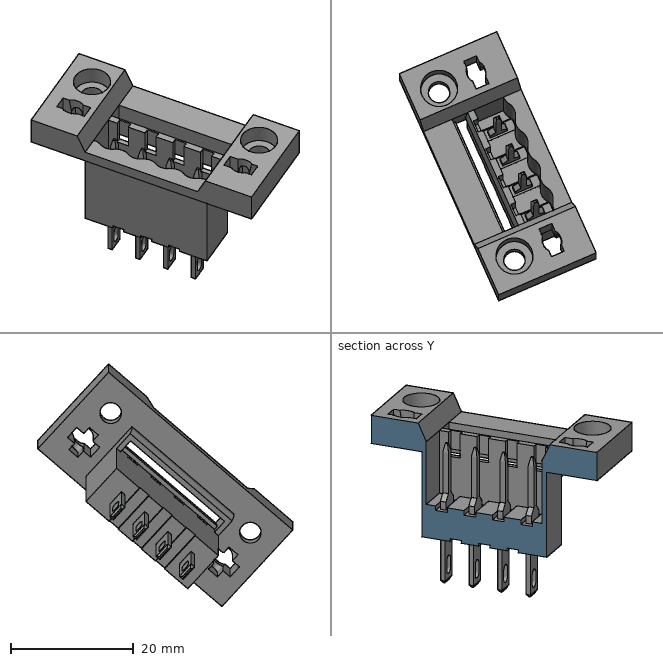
import cadquery as cq
import math


flange_length = 40.25
flange_width = 17.4
flange_thickness = 5.05
ledge_depth = 3.05
ledge_half_length = 10.25
ear_half_gap = 11.7

body_length = 22.25
body_front = -6.95
body_back = 0.55
body_bottom = -20.0
notch_width = 1.97
notch_height = 0.5

hood_back = 4.35
hood_back_low = 3.9
hood_taper_z = -6.45
hood_bottom = -8.05
hood_pocket_back = 3.62
hood_slit_back = 3.0

catch_top_y = 0.85
catch_tip_y = 1.3
catch_bottom = -6.35

pin_count = 4
pin_pitch = 5.07
cavity_back = -0.3
cavity_front = -6.3
crest_front = -5.55
cavity_floor = -14.1
groove_depth = 0.8
slot_width = 2.0
slot_floor = -7.32

pin_y = -3.3
contact_thickness = 1.0
contact_width = 3.05
contact_root = 1.6
tail_thickness = 0.8
tail_width = 2.85
neck_width = 1.05
pin_top = -3.7
neck_taper_length = 1.45
neck_tip_size = 0.35
shoulder_base = -13.5
shoulder_height = 1.13
pin_bottom = -28.0
tail_taper_length = 0.55
tail_tip_thickness = 0.25
tail_tip_width = 1.85
eye_width = 1.5
eye_length = 3.15
eye_z = -25.0

opening_x = 15.25
screw_y = 3.75
screw_diameter = 3.5
counterbore_diameter = 6.05
counterbore_depth = 3.0
key_y = -2.9
key_length = 5.05
key_width = 2.25
key_bore_x = 15.17
key_bore_diameter = 3.05
key_lean_angle = 10.0
key_lean_depth = 2.4
cross_slot_width = 1.95
cross_slot_top = -1.5

pin_positions = [(i - (pin_count - 1) / 2) * pin_pitch for i in range(pin_count)]


def block(x_range, y_range, z_range):
    """Axis-aligned box given by its limits."""
    (x0, x1), (y0, y1), (z0, z1) = x_range, y_range, z_range
    return cq.Workplane("XY").box(x1 - x0, y1 - y0, z1 - z0, centered=False).translate((x0, y0, z0))


def centred(length, middle=0.0):
    """Limits of a length centred on a middle position."""
    return (middle - length / 2, middle + length / 2)


def side_profile(points, length):
    """Extrude a Y-Z outline symmetrically along X."""
    return cq.Workplane("YZ").polyline(points).close().extrude(length / 2, both=True)


def flange():
    """Plate with a sloped recess between two raised ears."""
    half = flange_length / 2
    outline = [
        (-half, -flange_thickness),
        (half, -flange_thickness),
        (half, 0),
        (ear_half_gap, 0),
        (ledge_half_length, -ledge_depth),
        (-ledge_half_length, -ledge_depth),
        (-ear_half_gap, 0),
        (-half, 0),
    ]
    return cq.Workplane("XZ").polyline(outline).close().extrude(flange_width / 2, both=True)


def housing():
    """Body and latch hood, with notches under the body between the pins."""
    outline = [
        (body_front, -flange_thickness),
        (body_front, body_bottom),
        (body_back, body_bottom),
        (body_back, hood_bottom),
        (hood_back_low, hood_bottom),
        (hood_back, hood_taper_z),
        (hood_back, -flange_thickness),
    ]
    body = side_profile(outline, body_length)
    for x in pin_positions[:-1]:
        body = body.cut(
            block(
                centred(notch_width, x + pin_pitch / 2),
                (body_front, body_back),
                (body_bottom, body_bottom + notch_height),
            )
        )
    return body


def latch_pocket():
    """Opening behind the housing wall, leaving the catch bar on the wall."""
    outline = [
        (catch_top_y, -ledge_depth),
        (catch_tip_y, catch_bottom),
        (body_back, catch_bottom),
        (body_back, hood_bottom),
        (hood_slit_back, hood_bottom),
        (hood_slit_back, hood_taper_z),
        (hood_pocket_back, hood_taper_z),
        (hood_pocket_back, -ledge_depth),
    ]
    return side_profile(outline, 2 * ledge_half_length)


def cavity():
    """Contact cavity with a scalloped front wall, one scallop per pin."""
    cavity_depth = -ledge_depth - cavity_floor
    middle_y = (cavity_front + crest_front) / 2
    quarter = pin_pitch / 4
    half = pin_pitch / 2

    rise = (crest_front - cavity_front) / 2
    radius = (quarter**2 + rise**2) / (2 * rise)
    arc_angle = math.asin(quarter / radius) / 2
    arc_x = radius * math.sin(arc_angle)
    arc_y = crest_front - radius * (1 - math.cos(arc_angle))

    outline = (
        cq.Workplane("XY", origin=(0, 0, -ledge_depth))
        .moveTo(-ledge_half_length, cavity_back)
        .lineTo(-ledge_half_length, crest_front)
        .lineTo(pin_positions[0] - half, crest_front)
    )
    for x in pin_positions:
        outline = (
            outline.threePointArc((x - half + arc_x, arc_y), (x - quarter, middle_y))
            .threePointArc((x, cavity_front), (x + quarter, middle_y))
            .threePointArc((x + half - arc_x, arc_y), (x + half, crest_front))
        )
    outline = outline.lineTo(ledge_half_length, crest_front).lineTo(ledge_half_length, cavity_back)
    return outline.close().extrude(-cavity_depth)


def pin_slot(x):
    """Slot through the back wall and groove in the cavity floor at one pin."""
    wall_slot = block(centred(slot_width, x), (cavity_back, body_back), (slot_floor, -ledge_depth))
    groove = block(
        centred(slot_width, x),
        (cavity_front, cavity_back),
        (cavity_floor - groove_depth, cavity_floor),
    )
    return wall_slot.union(groove)


def frustum(x, z, start_size, end_size, height):
    """Rectangular frustum around a pin axis, starting at z; a negative height goes down."""
    return (
        cq.Workplane("XY", origin=(x, pin_y, z))
        .rect(*start_size)
        .workplane(offset=height)
        .rect(*end_size)
        .loft(ruled=True)
    )


def pin(x):
    """Flat pin with a pointed square neck on top and a thinner tail with an eye below."""
    neck_top = pin_top - neck_taper_length
    contact_size = (contact_thickness, contact_width)
    neck_size = (contact_thickness, neck_width)
    neck_tip = (neck_tip_size, neck_tip_size)
    contact_base = cavity_floor - contact_root
    contact_x = centred(contact_thickness, x)
    contact = block(contact_x, centred(contact_width, pin_y), (contact_base, shoulder_base))
    shoulder = frustum(x, shoulder_base, contact_size, neck_size, shoulder_height)
    neck = block(contact_x, centred(neck_width, pin_y), (shoulder_base, neck_top))
    neck_point = frustum(x, neck_top, neck_size, neck_tip, neck_taper_length)

    tail_x = x - (contact_thickness - tail_thickness) / 2
    tail_end = pin_bottom + tail_taper_length
    tail_size = (tail_thickness, tail_width)
    tail_tip_size = (tail_tip_thickness, tail_tip_width)
    tail = block(centred(tail_thickness, tail_x), centred(tail_width, pin_y), (tail_end, contact_base))
    tail_tip = frustum(tail_x, tail_end, tail_size, tail_tip_size, -tail_taper_length)
    eye = (
        cq.Workplane("YZ", origin=(tail_x, pin_y, eye_z))
        .slot2D(eye_length, eye_width, 90)
        .extrude(tail_thickness, both=True)
    )
    return contact.union(shoulder).union(neck).union(neck_point).union(tail).union(tail_tip).cut(eye)


def right_ear_openings():
    """Counterbored screw hole and keyed opening of the ear at +X."""
    screw = cq.Workplane("XY", origin=(opening_x, screw_y, 0))
    openings = screw.circle(screw_diameter / 2).extrude(-flange_thickness)
    openings = openings.union(screw.circle(counterbore_diameter / 2).extrude(-counterbore_depth))

    key = cq.Workplane("XY", origin=(opening_x, key_y, 0))
    openings = openings.union(key.rect(key_length, key_width).extrude(-flange_thickness))
    bore = cq.Workplane("XY", origin=(key_bore_x, key_y, 0)).circle(key_bore_diameter / 2)
    openings = openings.union(bore.extrude(-flange_thickness))

    leaning_bore = (
        cq.Workplane("XY", origin=(key_bore_x, key_y, -key_lean_depth))
        .circle(key_bore_diameter / 2)
        .extrude(2 * key_lean_depth)
        .rotate(
            (key_bore_x, key_y, -key_lean_depth),
            (key_bore_x, key_y + 0.4, -key_lean_depth),
            key_lean_angle,
        )
    )
    openings = openings.union(leaning_bore)

    arch_radius = cross_slot_width / 2
    arch_z = cross_slot_top - arch_radius
    cross_slot = (
        cq.Workplane("XZ", origin=(opening_x, key_y, 0))
        .moveTo(-arch_radius, -flange_thickness)
        .lineTo(-arch_radius, arch_z)
        .threePointArc((0, cross_slot_top), (arch_radius, arch_z))
        .lineTo(arch_radius, -flange_thickness)
        .close()
        .extrude(key_length / 2, both=True)
    )
    return openings.union(cross_slot)


result = flange().union(housing())
result = result.cut(latch_pocket()).cut(cavity())
for pin_x in pin_positions:
    result = result.cut(pin_slot(pin_x))
    result = result.union(pin(pin_x))

ear_openings = right_ear_openings()
result = result.cut(ear_openings).cut(ear_openings.mirror("YZ"))